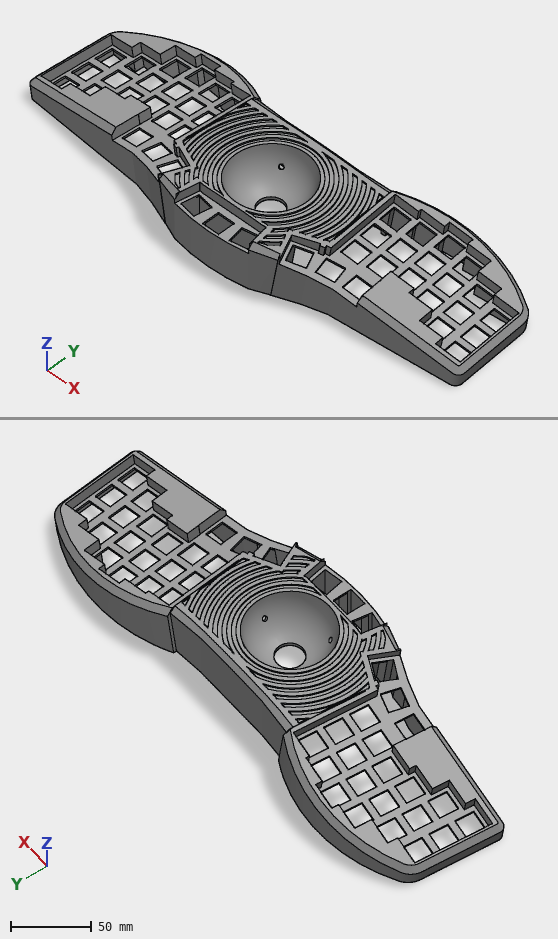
import cadquery as cq
import math


HEIGHT = 38.5
WALL = 5.0
DEEP = 75.3
WIDE = 226.0

PITCH = 19.05
HALF_CELL = PITCH / 2
KEY_HOLE = 14.0
KEY_DEPTH = 8.0
PLATE = 1.5
CEILING = -KEY_DEPTH - PLATE

WING_TURN = 5.0
WING_TILT = 10.0
WING_PLANE_Z = 47.0
WING_END = 189.5
WING_FRONT = -41.5
WING_ROOT = 64.8
WING_ROOT_FRONT = -15.0
BACK_ARC_START = (WING_ROOT, 45.0)
BACK_ARC_MIDDLE = (119.5, 55.15)
BACK_ARC_END = (WING_END, 28.5)
THUMB_EDGE = ((87.0, WING_FRONT), (68.5, -45.0), (49.5, -50.65), (37.5, -22.5))
BACK_CORNER_R = 14.5
FRONT_CORNER_R = 5.3
RIM_CHAMFER = 4.0
BEVEL_FROM_U = 94.0

FIRST_COLUMN_U = 77.5
COLUMN_V = (11.5, 14.3, 19.2, 14.3, 2.0, -5.3)
LAST_COLUMN_GAP = 1.0
THUMB_COLUMNS = 2
THUMB_FLOOR_FRONT = -34.0

WING_THUMB_KEYS = ((96.8, -28.5, 0), (75.85, -30.5, 10), (55.5, -36.0, 20))
MIDDLE_THUMB_KEYS = ((-21.0, -44.5, -10), (0, -46.3, 0), (21.0, -44.5, 10))
GAP_WIDTH = 7.5
GAP_BACK = HALF_CELL - 1.0

MIDDLE_FLAT_HALF = 31.3
MIDDLE_BACK = 46.0
MIDDLE_FRONT = -55.7
FRONT_ARC_END = (32.0, -52.52)
MIDDLE_SIDE = ((60.0, MIDDLE_BACK + 2.3), (65.0, -15), (56.5, -34), (FRONT_ARC_END[0], -37.5))
MIDDLE_CHAMFER = 3.5
SHOULDER_X = 66.3
SHOULDER_DROP = 3.0
RECESS_FLOOR = HEIGHT - KEY_DEPTH
RECESS_BACK = -34.0
RECESS_HALF = 29.0
THUMB_HOLLOW_HALF = 30.0
THUMB_HOLLOW_BACK = -34.5
BOWL_HOLLOW_FRONT = -19.0
LINK_U = (42.5, 75.3)
LINK_V = (-41.5, 35.8)

FLANK_FOOT = (46.0, -46.5)
FLANK_TOP = (52.7, -46.3)
FLANK_BACK = -34.0
FLANK_CHAMFER = 5.0

BOWL_D = 62.0
BOWL_OUTER_D = 67.0
BOWL_CENTER_Z = HEIGHT + 3.5
BOWL_HOLE_D = 20.0
BEARING_D = 3.5
BEARING_ANGLES = (0, 120, 240)
BEARING_DROP = 35.0

GROOVE_PITCH = 5.8
GROOVE_WIDTH = GROOVE_PITCH / 2
GROOVE_DEPTH = 1.0
GROOVE_COUNT = 8
GRIP_HALF_AREA = (
    (0, 38.8),
    (60.0, 38.8),
    (64.5, -12.8),
    (58.5, -16.2),
    (39.5, -24.5),
    (47.0, -41.0),
    (34.5, -46.3),
    (33.5, -31.3),
    (0, -32.5),
)


def span_box(x0, x1, y0, y1, z0, z1):
    box = cq.Workplane("XY").box(x1 - x0, y1 - y0, z1 - z0, centered=False)
    return box.translate((x0, y0, z0))


def turned_box(key, half_width, front, back, z0, z1):
    """Box around a key centre, reaching `front` and `back` from it and turned with the key."""
    x, y, turn = key
    box = span_box(-half_width, half_width, -front, back, z0, z1)
    return box.rotate((0, 0, 0), (0, 0, 1), turn).translate((x, y, 0))


def key_hole(key, z0, z1):
    half = KEY_HOLE / 2
    return turned_box(key, half, half, half, z0, z1)


def union_of(shapes):
    total = cq.Workplane("XY")
    for shape in shapes:
        total = total.union(shape)
    return total


def both_sides(shape):
    return shape.union(shape.mirror("YZ"))




def to_wing(shape):
    """Move a shape from the local frame onto the right-hand wing."""
    turn = math.radians(WING_TURN)
    tilt = math.radians(WING_TILT)
    across = (math.cos(turn), math.sin(turn))
    u_axis = (math.cos(tilt) * across[0], math.cos(tilt) * across[1], -math.sin(tilt))
    normal = (math.sin(tilt) * across[0], math.sin(tilt) * across[1], math.cos(tilt))
    frame = cq.Plane(origin=(0, 0, WING_PLANE_Z), xDir=u_axis, normal=normal)
    return cq.Workplane(shape.val().located(cq.Location(frame)))


def wing_blank():
    blank = (
        cq.Workplane("XY")
        .moveTo(*BACK_ARC_START)
        .threePointArc(BACK_ARC_MIDDLE, BACK_ARC_END)
        .lineTo(WING_END, WING_FRONT)
        .polyline(THUMB_EDGE, includeCurrent=True)
        .lineTo(WING_ROOT, WING_ROOT_FRONT)
        .close()
        .extrude(-DEEP)
    )
    for corner, radius in (
        (BACK_ARC_END, BACK_CORNER_R),
        ((WING_END, WING_FRONT), FRONT_CORNER_R),
    ):
        near_corner = cq.selectors.NearestToPointSelector((*corner, -DEEP / 2))
        blank = blank.edges("|Z").edges(near_corner).fillet(radius)
    return blank


def bevel_rim(blank):
    rim = cq.selectors.BoxSelector((BEVEL_FROM_U, -DEEP, -3.8), (WIDE, DEEP, 3.8))
    return blank.faces(">Z").edges(rim).chamfer(RIM_CHAMFER)


def column_keys():
    """Middle key of each column."""
    last = len(COLUMN_V) - 1
    for i, v in enumerate(COLUMN_V):
        gap = LAST_COLUMN_GAP if i == last else 0
        yield FIRST_COLUMN_U + i * PITCH + gap, v, 0


def wing_keys():
    for u, v, turn in column_keys():
        for row in (-1, 0, 1):
            yield u, v + row * PITCH, turn
    yield from WING_THUMB_KEYS


def wing_recess():
    """Recess over the key plate: a strip per key column, open to the front at the thumb keys."""
    back = PITCH + HALF_CELL
    strips = []
    for i, (u, v, _) in enumerate(column_keys()):
        front = THUMB_FLOOR_FRONT if i < THUMB_COLUMNS else v - back
        is_last = i == len(COLUMN_V) - 1
        inner = u - HALF_CELL - (LAST_COLUMN_GAP if is_last else 0)
        strips.append(span_box(inner, u + HALF_CELL, front, v + back, -KEY_DEPTH, DEEP))
    for key in WING_THUMB_KEYS:
        strips.append(turned_box(key, HALF_CELL, DEEP, HALF_CELL, -KEY_DEPTH, DEEP))
    for key, next_key in zip(WING_THUMB_KEYS, WING_THUMB_KEYS[1:]):
        between = tuple((a + b) / 2 for a, b in zip(key, next_key))
        strips.append(turned_box(between, GAP_WIDTH / 2, DEEP, GAP_BACK, -KEY_DEPTH, DEEP))
    return union_of(strips)


def hollow(blank):
    """Inside of a blank, leaving the side walls and the key plate."""
    rim = blank.faces(">Z").wires().val()
    ceiling = cq.Face.makeFromWires(rim.offset2D(-WALL)[0])
    ceiling = ceiling.translate(cq.Vector(0, 0, CEILING))
    return cq.Workplane(cq.Solid.extrudeLinear(ceiling, cq.Vector(0, 0, -DEEP)))


def wing_hollow(blank):
    """Hollow below the key columns, joined to the hollow around the bowl."""
    back = PITCH + HALF_CELL
    strips = []
    for u, v, _ in column_keys():
        inner = u - HALF_CELL - LAST_COLUMN_GAP
        strips.append(span_box(inner, u + HALF_CELL, -DEEP, v + back, -2 * DEEP, CEILING))
    link = span_box(*LINK_U, *LINK_V, -DEEP, CEILING)
    return hollow(blank).intersect(union_of(strips)).union(link)




def roof_space():
    """Space below the middle's roof: an arc that runs on straight past the shoulders."""
    shoulder_z = HEIGHT - SHOULDER_DROP
    far_z = shoulder_z - 2 * SHOULDER_DROP / SHOULDER_X * (WIDE - SHOULDER_X)
    return (
        cq.Workplane("XZ")
        .moveTo(-WIDE, 0)
        .lineTo(WIDE, 0)
        .lineTo(WIDE, far_z)
        .lineTo(SHOULDER_X, shoulder_z)
        .threePointArc((0, HEIGHT), (-SHOULDER_X, shoulder_z))
        .lineTo(-WIDE, far_z)
        .close()
        .extrude(WIDE, both=True)
    )


def middle_blank():
    left_side = [(-x, y) for x, y in reversed(MIDDLE_SIDE)]
    return (
        cq.Workplane("XY")
        .moveTo(-MIDDLE_FLAT_HALF, MIDDLE_BACK)
        .lineTo(MIDDLE_FLAT_HALF, MIDDLE_BACK)
        .polyline(MIDDLE_SIDE, includeCurrent=True)
        .lineTo(*FRONT_ARC_END)
        .threePointArc((0, MIDDLE_FRONT), (-FRONT_ARC_END[0], FRONT_ARC_END[1]))
        .polyline(left_side, includeCurrent=True)
        .close()
        .extrude(HEIGHT)
    )


def bevel_back(middle):
    reach = MIDDLE_SIDE[0][0] - MIDDLE_CHAMFER
    low = HEIGHT - 2 * SHOULDER_DROP
    back_edge = cq.selectors.BoxSelector((-reach, MIDDLE_BACK - 3.8, low), (reach, WIDE, DEEP))
    return middle.edges(back_edge).chamfer(MIDDLE_CHAMFER)


def flank():
    """Block whose front face twists from the upright middle to the leaning wing."""
    inner_x, inner_front = FRONT_ARC_END
    foot = [(inner_x, inner_front), FLANK_FOOT, (FLANK_FOOT[0], FLANK_BACK), (inner_x, FLANK_BACK)]
    top = [(inner_x, inner_front), FLANK_TOP, (FLANK_TOP[0], FLANK_BACK), (inner_x, FLANK_BACK)]
    block = (
        cq.Workplane("XY")
        .polyline(foot)
        .close()
        .workplane(offset=HEIGHT)
        .polyline(top)
        .close()
        .loft(ruled=True)
    )
    return block.faces(">Z").edges("<Y").chamfer(FLANK_CHAMFER)


def middle_recess():
    cells = [span_box(-RECESS_HALF, RECESS_HALF, -DEEP, RECESS_BACK, RECESS_FLOOR, DEEP)]
    for key in MIDDLE_THUMB_KEYS:
        cells.append(turned_box(key, HALF_CELL, DEEP, HALF_CELL, RECESS_FLOOR, DEEP))
    return union_of(cells)


def middle_hollow(blank):
    """Hollow around the bowl and, apart from it, the hollow below the middle thumb keys."""
    around_bowl = span_box(-WIDE, WIDE, BOWL_HOLLOW_FRONT, WIDE, -DEEP, HEIGHT)
    half = THUMB_HOLLOW_HALF
    below_keys = span_box(-half, half, -DEEP, THUMB_HOLLOW_BACK, -DEEP, HEIGHT)
    return hollow(blank).intersect(around_bowl.union(below_keys))


def ball(diameter):
    return cq.Workplane("XY").sphere(diameter / 2).translate((0, 0, BOWL_CENTER_Z))


def bearing_holes():
    hole = cq.Workplane("YZ").circle(BEARING_D / 2).extrude(BOWL_OUTER_D / 2 + WALL)
    hole = hole.rotate((0, 0, 0), (0, 1, 0), BEARING_DROP)
    holes = union_of(hole.rotate((0, 0, 0), (0, 0, 1), angle) for angle in BEARING_ANGLES)
    return holes.translate((0, 0, BOWL_CENTER_Z))


def grip_grooves():
    rings = []
    for i in range(GROOVE_COUNT):
        radius = BOWL_OUTER_D / 2 + i * GROOVE_PITCH
        rings.append(cq.Workplane("XY").circle(radius + GROOVE_WIDTH).circle(radius).extrude(DEEP))
    area = cq.Workplane("XY").polyline(GRIP_HALF_AREA).close().extrude(DEEP)
    groove_floor = roof_space().translate((0, 0, -GROOVE_DEPTH))
    return union_of(rings).intersect(both_sides(area)).cut(groove_floor)



wing = wing_blank()
middle = middle_blank()
roof = roof_space()
above_base = span_box(-WIDE, WIDE, -WIDE, WIDE, 0, HEIGHT)

sides = to_wing(bevel_rim(wing)).union(flank()).intersect(roof)
body = both_sides(sides).union(bevel_back(middle.intersect(roof)))

body = body.cut(middle_hollow(middle)).cut(both_sides(to_wing(wing_hollow(wing))))
body = body.union(ball(BOWL_OUTER_D).intersect(above_base).intersect(roof))

wing_holes = union_of(key_hole(key, -DEEP, 0) for key in wing_keys())
middle_holes = union_of(key_hole(key, -3.8, HEIGHT) for key in MIDDLE_THUMB_KEYS)
body = body.cut(both_sides(to_wing(wing_recess()))).cut(middle_recess())
body = body.cut(both_sides(to_wing(wing_holes))).cut(middle_holes)

body = body.cut(grip_grooves()).cut(ball(BOWL_D))
body = body.cut(cq.Workplane("XY").circle(BOWL_HOLE_D / 2).extrude(HEIGHT))
result = body.cut(bearing_holes())